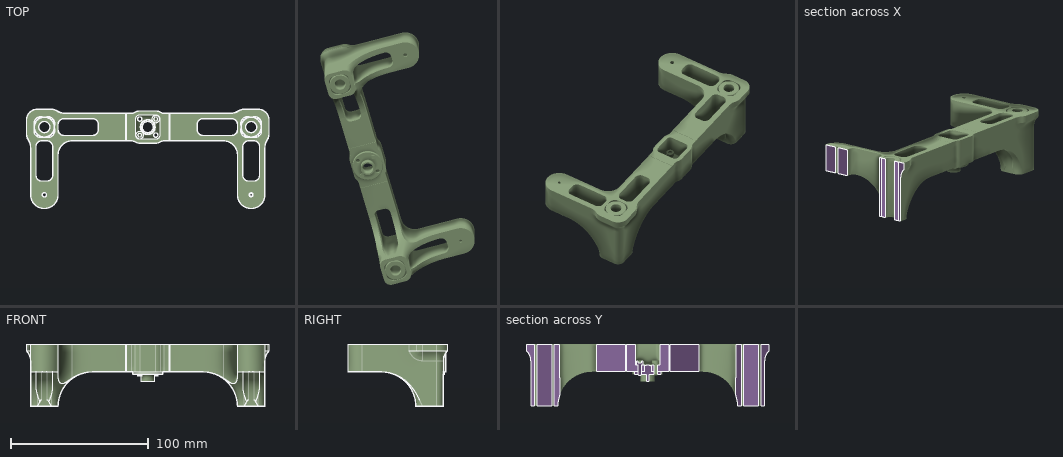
import cadquery as cq
import math


POST_X = 75.0
ARM_WIDTH = 20.0
ARM_HEIGHT = 20.0
TOTAL_HEIGHT = 45.0
TIP_Y = -49.1
POST_CORNER = 5.0
FLARE_RADIUS = TOTAL_HEIGHT - ARM_HEIGHT
INNER_FILLET = 10.0
HALF = ARM_WIDTH / 2
POST_FLAT = HALF - POST_CORNER
SLAB_SIZE = 140.8
POST_EXCESS = 1.8
EDGE_REACH = 0.2

FOOT_FLAT_TOP = 5.3
FOOT_FLAT_HEIGHT = 4.5

RIM_LIP = 3.0
RIM_THICK = 5.0
RIM_BLEND = 10.0
RIM_DEPTH = 12.0

SLOT_WIDTH = 12.0
SLOT_LENGTH = 29.0
SLOT_CORNER = 4.0

BEARING_DIAMETER = 15.0
BEARING_FACE_DIAMETER = 14.3
BEARING_BORE = 8.0
SEAT_CORNER = 5.0

TIP_HOLE = 3.0
TIP_SLEEVE_BORE = 2.1

JOINT_X = 15.8
JOINT_GAP = 0.2
HUB_HALF_WIDTH = 11.8
HUB_CORNER = 7.0
HUB_CORNER_X = 5.6
HUB_BLEND = 5.0
POCKET_SIZE = 17.6
POCKET_CORNER = 3.0
POCKET_DEPTH = 15.0

NUT_FLANGE_DIAMETER = 22.0
NUT_FLANGE_THICK = 2.0
NUT_FLANGE_CHAMFER = 0.4
NUT_TUBE_DIAMETER = 10.0
NUT_BOSS_DIAMETER = 11.0
NUT_BOSS_CHAMFER = 0.44
NUT_BORE = 8.0
NUT_BOTTOM = 27.1

SCREW_OFFSET = 5.8
SCREW_DIAMETER = 3.0
SCREW_HEAD_DIAMETER = 5.5
SCREW_HEAD_HEIGHT = 3.0
SCREW_LENGTH = 8.0
SOCKET_FLATS = 2.6
SOCKET_DEPTH = 1.5
SOCKET_TURN = 30
SCREW_POINTS = [(SCREW_OFFSET, SCREW_OFFSET), (-SCREW_OFFSET, -SCREW_OFFSET)]
FREE_HOLE_POINTS = [(SCREW_OFFSET, -SCREW_OFFSET), (-SCREW_OFFSET, SCREW_OFFSET)]

SWAP_BEAM_AND_LEG = (1, -1, 0)


def rounded_block(length_x, length_y, corner, depth, x=0, y=0):
    """Block with rounded vertical edges, from the top face down."""
    block = cq.Workplane().center(x, y).rect(length_x, length_y).extrude(-depth)
    return block.edges("|Z").fillet(corner)


def shoulder(center_x, center_y, radius, blend):
    """Corner arc that runs into a reversed arc and ends tangent on the arm side y = HALF.

    Returns the middle of the corner arc, the turning point, the middle of the reversed arc, and its end.
    """
    rise = HALF + blend - center_y
    run = math.sqrt((radius + blend) ** 2 - rise**2)
    turn = math.atan2(run, rise)

    def on_corner(angle):
        return (center_x + radius * math.sin(angle), center_y + radius * math.cos(angle))

    def on_blend(angle):
        return (center_x + run - blend * math.sin(angle), HALF + blend - blend * math.cos(angle))

    return on_corner(turn / 2), on_corner(turn), on_blend(turn / 2), on_blend(0)



def flared_post(slab_depth, radius):
    """Post that flares through a fillet into the underside of a wide slab."""
    slab = cq.Workplane().rect(SLAB_SIZE, SLAB_SIZE).extrude(-slab_depth)
    body = slab.union(rounded_block(ARM_WIDTH, ARM_WIDTH, POST_CORNER, TOTAL_HEIGHT + POST_EXCESS))
    post_root = cq.selectors.BoxSelector(
        (-ARM_WIDTH, -ARM_WIDTH, -slab_depth - EDGE_REACH),
        (ARM_WIDTH, ARM_WIDTH, -slab_depth + EDGE_REACH),
    )
    return body.edges(post_root).fillet(radius)


def arm_core():
    beam_end = JOINT_X + JOINT_GAP / 2 - POST_X
    prism = (
        cq.Workplane()
        .moveTo(beam_end, HALF)
        .lineTo(HALF, HALF)
        .lineTo(HALF, TIP_Y)
        .threePointArc((0, TIP_Y - HALF), (-HALF, TIP_Y))
        .lineTo(-HALF, -HALF)
        .lineTo(beam_end, -HALF)
        .close()
        .extrude(-TOTAL_HEIGHT)
    )
    outer_edge = cq.selectors.NearestToPointSelector((HALF, HALF, -TOTAL_HEIGHT / 2))
    inner_edge = cq.selectors.NearestToPointSelector((-HALF, -HALF, -TOTAL_HEIGHT / 2))
    prism = prism.edges(outer_edge).fillet(POST_CORNER)
    prism = prism.edges(inner_edge).fillet(INNER_FILLET)
    return prism.intersect(flared_post(ARM_HEIGHT, FLARE_RADIUS))


def rim_underside():
    """Fillet from the post out to the rim; past the post flats it curls up into the arm sides."""
    axis_z = RIM_BLEND - RIM_DEPTH
    corner_center = SLAB_SIZE / 2 - POST_FLAT
    corner_region = (
        cq.Workplane()
        .center(corner_center, corner_center)
        .rect(SLAB_SIZE, SLAB_SIZE)
        .extrude(-RIM_DEPTH)
    )
    around_post = flared_post(-axis_z, RIM_BLEND).intersect(corner_region)
    arc_middle = RIM_BLEND * (1 - math.sqrt(0.5))
    leg_end = (
        cq.Workplane("XZ", (HALF, -POST_FLAT, axis_z))
        .lineTo(RIM_BLEND, 0)
        .threePointArc((arc_middle, -arc_middle), (0, -RIM_BLEND))
        .close()
        .revolve(180, (1.8, 0), (0, 0))
    )
    return around_post.union(leg_end).union(leg_end.mirror(SWAP_BEAM_AND_LEG))


def post_rim():
    """Wider rim around the top of the post, blended into the arm sides and the post below."""
    edge = HALF + RIM_LIP
    radius = POST_CORNER + RIM_LIP
    corner_middle = POST_FLAT + radius * math.sqrt(0.5)
    points = shoulder(POST_FLAT, POST_FLAT, radius, RIM_BLEND)
    beam_arc, beam_turn, beam_blend, beam_end = [(-x, y) for x, y in points]
    leg_arc, leg_turn, leg_blend, leg_end = [(y, -x) for x, y in points]
    prism = (
        cq.Workplane()
        .moveTo(*beam_end)
        .threePointArc(beam_blend, beam_turn)
        .threePointArc(beam_arc, (-POST_FLAT, edge))
        .lineTo(POST_FLAT, edge)
        .threePointArc((corner_middle, corner_middle), (edge, POST_FLAT))
        .lineTo(edge, -POST_FLAT)
        .threePointArc(leg_arc, leg_turn)
        .threePointArc(leg_blend, leg_end)
        .close()
        .extrude(-RIM_DEPTH)
    )
    rim_layer = cq.Workplane().rect(SLAB_SIZE, SLAB_SIZE).extrude(-RIM_THICK)
    return prism.intersect(rim_layer.union(rim_underside()))


def foot_flat():
    """Tapered cutter that trims the flare flush with the post face below the side leg's slot."""
    return (
        cq.Workplane("XZ", (0, -HALF, -TOTAL_HEIGHT))
        .moveTo(-POST_FLAT, 0)
        .lineTo(POST_FLAT, 0)
        .lineTo(FOOT_FLAT_TOP / 2, FOOT_FLAT_HEIGHT)
        .lineTo(-FOOT_FLAT_TOP / 2, FOOT_FLAT_HEIGHT)
        .close()
        .extrude(ARM_WIDTH)
    )


def arm(side):
    """Arm with its post; side is 1 for the +X arm and -1 for the -X arm."""
    slot_center = -(HALF + SLOT_LENGTH / 2)
    leg_slot = rounded_block(SLOT_WIDTH, SLOT_LENGTH, SLOT_CORNER, TOTAL_HEIGHT, y=slot_center)
    body = arm_core().union(post_rim())
    for cutter in (leg_slot, foot_flat()):
        body = body.cut(cutter).cut(cutter.mirror(SWAP_BEAM_AND_LEG))
    body = body.cut(rounded_block(BEARING_DIAMETER, BEARING_DIAMETER, SEAT_CORNER, TOTAL_HEIGHT))
    body = body.cut(cq.Workplane().center(0, TIP_Y).circle(TIP_HOLE / 2).extrude(-ARM_HEIGHT))
    if side < 0:
        body = body.mirror("YZ")
    return body.translate((side * POST_X, 0, 0))



def linear_bearing(side):
    sleeve = cq.Workplane().circle(BEARING_DIAMETER / 2).extrude(-TOTAL_HEIGHT)
    sleeve = sleeve.faces("|Z").edges().chamfer((BEARING_DIAMETER - BEARING_FACE_DIAMETER) / 2)
    sleeve = sleeve.cut(cq.Workplane().circle(BEARING_BORE / 2).extrude(-TOTAL_HEIGHT))
    return sleeve.translate((side * POST_X, 0, 0))


def tip_sleeve():
    tip = cq.Workplane().center(POST_X, TIP_Y)
    return tip.circle(TIP_HOLE / 2).circle(TIP_SLEEVE_BORE / 2).extrude(-ARM_HEIGHT)



def nut_screw_holes():
    points = SCREW_POINTS + FREE_HOLE_POINTS
    return cq.Workplane().pushPoints(points).circle(SCREW_DIAMETER / 2).extrude(-NUT_BOTTOM)


def hub():
    end_x = JOINT_X - JOINT_GAP / 2
    points = shoulder(HUB_CORNER_X, HUB_HALF_WIDTH - HUB_CORNER, HUB_CORNER, HUB_BLEND)
    right_arc, right_turn, right_blend, right_end = points
    left_arc, left_turn, left_blend, left_end = [(-x, y) for x, y in points]
    body = (
        cq.Workplane()
        .moveTo(end_x, 0)
        .lineTo(end_x, HALF)
        .lineTo(*right_end)
        .threePointArc(right_blend, right_turn)
        .threePointArc(right_arc, (HUB_CORNER_X, HUB_HALF_WIDTH))
        .lineTo(-HUB_CORNER_X, HUB_HALF_WIDTH)
        .threePointArc(left_arc, left_turn)
        .threePointArc(left_blend, left_end)
        .lineTo(-end_x, HALF)
        .lineTo(-end_x, 0)
        .mirrorX()
        .extrude(-ARM_HEIGHT)
    )
    body = body.cut(rounded_block(POCKET_SIZE, POCKET_SIZE, POCKET_CORNER, POCKET_DEPTH))
    body = body.cut(cq.Workplane().circle(NUT_BOSS_DIAMETER / 2).extrude(-ARM_HEIGHT))
    return body.cut(nut_screw_holes())


def nut():
    """Flanged nut under the hub, with a boss that fills the hole in the pocket floor."""
    pocket_floor = cq.Workplane("XY", (0, 0, -POCKET_DEPTH))
    underside = cq.Workplane("XY", (0, 0, -ARM_HEIGHT))
    boss = pocket_floor.circle(NUT_BOSS_DIAMETER / 2).extrude(POCKET_DEPTH - ARM_HEIGHT)
    boss = boss.faces(">Z").edges().chamfer(NUT_BOSS_CHAMFER)
    flange = underside.circle(NUT_FLANGE_DIAMETER / 2).extrude(-NUT_FLANGE_THICK)
    flange = flange.faces("<Z").edges().chamfer(NUT_FLANGE_CHAMFER)
    tube = underside.circle(NUT_TUBE_DIAMETER / 2).extrude(ARM_HEIGHT - NUT_BOTTOM)
    bore = cq.Workplane().circle(NUT_BORE / 2).extrude(-NUT_BOTTOM)
    return boss.union(flange).union(tube).cut(bore).cut(nut_screw_holes())


def nut_screw(x, y):
    """Socket head screw whose head rests on the pocket floor."""
    pocket_floor = cq.Workplane("XY", (x, y, -POCKET_DEPTH))
    head = pocket_floor.circle(SCREW_HEAD_DIAMETER / 2).extrude(SCREW_HEAD_HEIGHT)
    shank = pocket_floor.circle(SCREW_DIAMETER / 2).extrude(-SCREW_LENGTH)
    socket = (
        cq.Workplane("XY", (x, y, SCREW_HEAD_HEIGHT - POCKET_DEPTH))
        .transformed(rotate=(0, 0, SOCKET_TURN))
        .polygon(6, SOCKET_FLATS, circumscribed=True)
        .extrude(-SOCKET_DEPTH)
    )
    return head.union(shank).cut(socket)


bodies = [hub(), nut(), tip_sleeve()]
for side in (-1, 1):
    bodies.append(arm(side))
    bodies.append(linear_bearing(side))
for x, y in SCREW_POINTS:
    bodies.append(nut_screw(x, y))

result = cq.Compound.makeCompound([body.solids().val() for body in bodies])